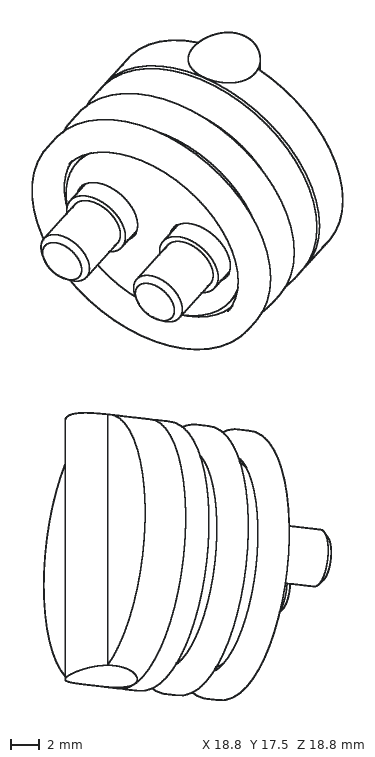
import cadquery as cq
OUTER_RADIUS = 9.4

DISC_THICKNESS = 3.03
CORE_RADIUS = 7.16
CORE_LENGTH = 6.65

ROD_RADIUS = 2.5
ROD_WEB = 0.02
ROD_CENTRE_Y = ROD_WEB + ROD_RADIUS
ROD_BACK_Y = ROD_CENTRE_Y + ROD_RADIUS

RING_BORE_RADIUS = 7.5
RING_WIDTH = 1.9
RING_FILLET = 0.49
RING_BACKS = (0.0, 2.93, 6.0)

PIN_SPACING = 7.6
PIN_RADIUS = 2.0
PIN_LENGTH = 12.48
PIN_CHAMFER = 0.4
SHOULDER_RADIUS = 2.4
SHOULDER_LENGTH = 8.08
PIN_HOLE_RADIUS = 2.5


def cylinder(radius, back_y, length, x=0.0):
    """Cylinder along Y that starts at back_y and runs toward -Y."""
    return cq.Workplane("XZ", origin=(x, back_y, 0)).circle(radius).extrude(length)


def make_rod():
    """Cross rod whose ends follow the outer diameter of the disc."""
    blank = (
        cq.Workplane("XY", origin=(0, ROD_CENTRE_Y, -OUTER_RADIUS))
        .circle(ROD_RADIUS)
        .extrude(2 * OUTER_RADIUS)
    )
    envelope = cylinder(OUTER_RADIUS, ROD_BACK_Y, ROD_BACK_Y)
    return blank.intersect(envelope)


def make_spool(rod, pin_places):
    """End disc and core in one piece, with a channel for the rod and a blind hole for each pin."""
    disc = cylinder(OUTER_RADIUS, DISC_THICKNESS, DISC_THICKNESS).cut(rod)
    spool = disc.union(cylinder(CORE_RADIUS, 0, CORE_LENGTH))
    for x in pin_places:
        spool = spool.cut(cylinder(PIN_HOLE_RADIUS, 0, CORE_LENGTH, x))
    return spool


def make_ring(back_y):
    """Ring with all four circular edges rounded, loose around the core."""
    ring = cylinder(OUTER_RADIUS, back_y, RING_WIDTH)
    ring = ring.cut(cylinder(RING_BORE_RADIUS, back_y, RING_WIDTH))
    return ring.edges("%CIRCLE").fillet(RING_FILLET)


def make_pin(x):
    """Pin with a wide shoulder seated in the core and a chamfered tip."""
    pin = cylinder(PIN_RADIUS, 0, PIN_LENGTH, x).faces("<Y").chamfer(PIN_CHAMFER)
    return pin.union(cylinder(SHOULDER_RADIUS, 0, SHOULDER_LENGTH, x))


pin_places = (-PIN_SPACING / 2, PIN_SPACING / 2)
rod = make_rod()
spool = make_spool(rod, pin_places)
rings = [make_ring(-depth) for depth in RING_BACKS]
pins = [make_pin(x) for x in pin_places]

bodies = [spool, rod, *rings, *pins]
result = cq.Compound.makeCompound([body.val() for body in bodies])